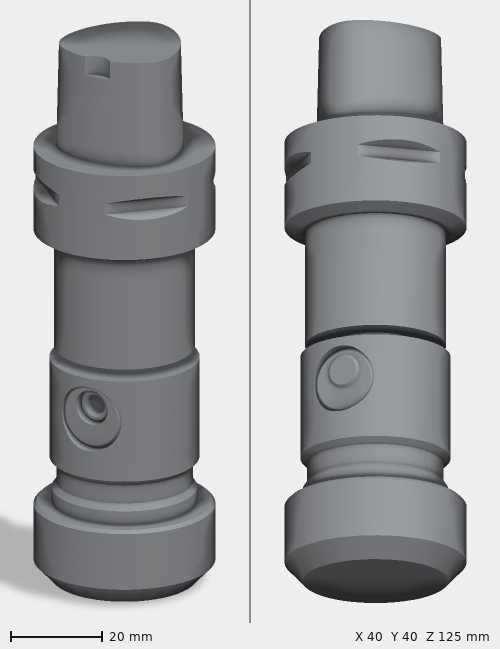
import cadquery as cq
import math

total_height = 125.0
taper_length = 24.0
flange_top = total_height - taper_length
flange_chamfer_top = 81.4
flange_bottom = 79.9
groove_top = 54.1
groove_flare_top = 52.8
body_top = 51.6
body_chamfer_top = 28.2
neck_top = 26.9
collar_chamfer_top = 22.6
collar_chamfer_bottom = 21.1
nut_top = 18.0
nut_edge = 17.2
nut_chamfer_top = 4.2

flange_radius = 40.0 / 2
flange_chamfer_radius = 16.8
shank_radius = 31.0 / 2
groove_radius = 20.0 / 2
groove_flare_radius = 10.5
body_radius = 33.0 / 2
neck_radius = 30.0 / 2
collar_radius = 32.0 / 2
nut_radius = flange_radius
nut_top_radius = 19.2
nose_radius = 32.0 / 2

taper_mean_radius = 14.0
eccentricity = 1.0
taper_slope = 1 / 40
sides = 6
points_per_side = 9

notch_radius = 4.0
notch_center_y = -14.6
notch_depth = 4.2

slot_height = 93.1
slot_floor_distance = 17.6
slot_floor_half_width = 1.2
slot_wall_angle = 28.0
slot_count = 4
slot_length = 2 * flange_radius
slot_outer_distance = flange_radius + 1.2

plug_height = 42.1
plug_radius = 15.0 / 2
plug_face_radius = 6.6
plug_face_distance = 14.8
plug_bevel = plug_radius - plug_face_radius

screw_height = 44.2
screw_radius = 8.0 / 2
screw_end_radius = 3.2
screw_bevel = screw_radius - screw_end_radius
screw_front_distance = 13.2
screw_back_distance = 15.4
socket_mouth_radius = 2.6
socket_radius = 2.1
socket_bevel = socket_mouth_radius - socket_radius
socket_depth = 2.0


def turned_body():
    profile = [
        (0, 0),
        (nose_radius, 0),
        (nut_radius, nut_chamfer_top),
        (nut_radius, nut_edge),
        (nut_top_radius, nut_top),
        (collar_radius, nut_top),
        (collar_radius, collar_chamfer_bottom),
        (neck_radius, collar_chamfer_top),
        (neck_radius, neck_top),
        (body_radius, body_chamfer_top),
        (body_radius, body_top),
        (groove_flare_radius, body_top),
        (groove_radius, groove_flare_top),
        (groove_radius, groove_top),
        (shank_radius, groove_top),
        (shank_radius, flange_bottom),
        (flange_chamfer_radius, flange_bottom),
        (flange_radius, flange_chamfer_top),
        (flange_radius, flange_top),
        (0, flange_top),
    ]
    return cq.Workplane("XZ").polyline(profile).close().revolve(360, (0, 0), (0, 1))


def polygon_point(angle, height):
    """Point of the three-lobed curve; angle 0 is the middle of the -Y side."""
    radius = taper_mean_radius - taper_slope * (height - flange_top)
    across = (radius * math.sin(angle) + 2 * eccentricity * math.sin(2 * angle)
              + eccentricity * math.sin(4 * angle))
    along = (radius * math.cos(angle) - 2 * eccentricity * math.cos(2 * angle)
             + eccentricity * math.cos(4 * angle))
    return cq.Vector(across, -along, height)


def polygon_section(height):
    step = 2 * math.pi / sides
    edges = []
    for side in range(sides):
        start = (side - 0.5) * step
        points = [polygon_point(start + step * i / (points_per_side - 1), height)
                  for i in range(points_per_side)]
        edges.append(cq.Edge.makeSpline(points))
    return cq.Wire.assembleEdges(edges)


def polygon_taper():
    sections = [polygon_section(flange_top), polygon_section(total_height)]
    return cq.Workplane(obj=cq.Solid.makeLoft(sections, True))


def taper_notch():
    return (cq.Workplane("XY", origin=(0, notch_center_y, total_height))
            .circle(notch_radius).extrude(-notch_depth))


def gripper_slot(direction):
    """Straight slot across the flange rim with sloping walls and a flat floor."""
    rise = (slot_outer_distance - slot_floor_distance) * math.tan(math.radians(slot_wall_angle))
    outer_half_width = slot_floor_half_width + rise
    profile = [
        (slot_floor_distance, slot_height - slot_floor_half_width),
        (slot_outer_distance, slot_height - outer_half_width),
        (slot_outer_distance, slot_height + outer_half_width),
        (slot_floor_distance, slot_height + slot_floor_half_width),
    ]
    slot = cq.Workplane("XZ").polyline(profile).close().extrude(slot_length / 2, both=True)
    return slot.rotate((0, 0, 0), (0, 0, 1), direction)


def turned_about_y(profile, height):
    """Solid of revolution about a line along Y, from (radius, y) points."""
    solid = cq.Workplane("XY").polyline(profile).close().revolve(360, (0, 0), (0, 1))
    return solid.translate((0, 0, height))


def back_plug_recess():
    """Round recess whose floor is the bevelled face of the back plug."""
    return turned_about_y([
        (0, plug_face_distance),
        (plug_face_radius, plug_face_distance),
        (plug_radius, plug_face_distance - plug_bevel),
        (plug_radius, body_radius),
        (0, body_radius),
    ], plug_height)


def front_screw_recess():
    """Hole in the front plug, down to the bevelled and socketed end of the screw."""
    socket_floor = screw_front_distance - socket_depth
    return turned_about_y([
        (0, -plug_face_distance),
        (screw_radius, -plug_face_distance),
        (screw_radius, screw_bevel - screw_front_distance),
        (screw_end_radius, -screw_front_distance),
        (socket_mouth_radius, -screw_front_distance),
        (socket_radius, socket_bevel - screw_front_distance),
        (socket_radius, -socket_floor),
        (0, -socket_floor),
    ], screw_height)


def back_screw_end():
    """Bevelled end of the screw above the back plug, rooted inside the body."""
    return turned_about_y([
        (0, 0),
        (screw_radius, 0),
        (screw_radius, screw_back_distance - screw_bevel),
        (screw_end_radius, screw_back_distance),
        (0, screw_back_distance),
    ], screw_height)


result = turned_body().union(polygon_taper()).cut(taper_notch())
for index in range(slot_count):
    result = result.cut(gripper_slot((index + 0.5) * 360 / slot_count))
plug_recess = back_plug_recess()
result = result.cut(plug_recess).cut(plug_recess.mirror("XZ"))
result = result.cut(front_screw_recess()).union(back_screw_end())